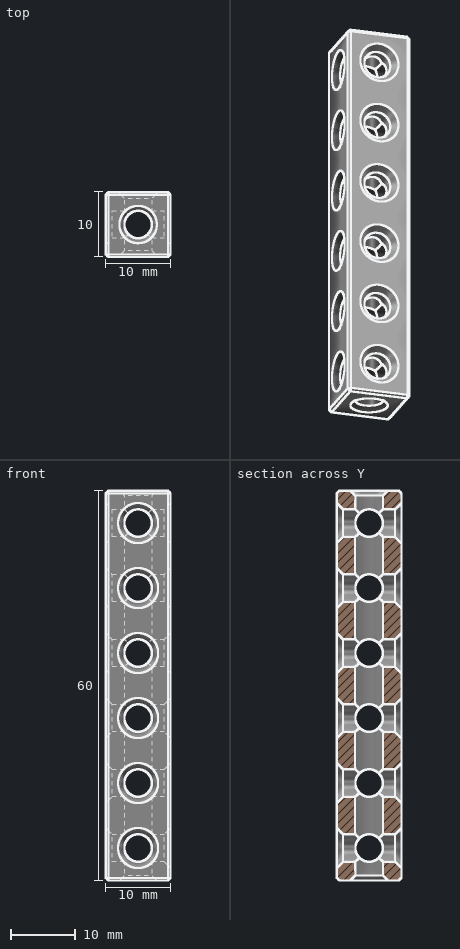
import cadquery as cq

length = 60.0
cell_count = 6
cell = length / cell_count
edge_chamfer = 0.4

hole_diameter = 4.2
side_mouth_diameter = 6.2
end_mouth_diameter = 5.75
side_mouth_depth = (side_mouth_diameter - hole_diameter) / 2
end_mouth_depth = (end_mouth_diameter - hole_diameter) / 2


def countersunk_hole(span, mouth_diameter, mouth_depth):
    """Cutter along Z, centred on the origin, with a cone at each end of the span."""
    hole_radius = hole_diameter / 2
    mouth_radius = mouth_diameter / 2
    half_span = span / 2
    profile = [
        (0, -half_span),
        (mouth_radius, -half_span),
        (hole_radius, -half_span + mouth_depth),
        (hole_radius, half_span - mouth_depth),
        (mouth_radius, half_span),
        (0, half_span),
    ]
    return cq.Workplane("XZ").polyline(profile).close().revolve(360, (0, 0), (0, 1))


result = cq.Workplane("XY").box(cell, cell, length).edges().chamfer(edge_chamfer)

result = result.cut(countersunk_hole(length, end_mouth_diameter, end_mouth_depth))

side_hole = countersunk_hole(cell, side_mouth_diameter, side_mouth_depth)
along_x = side_hole.rotate((0, 0, 0), (0, 1, 0), 90)
along_y = side_hole.rotate((0, 0, 0), (1, 0, 0), 90)
for index in range(cell_count):
    height = (index + 0.5) * cell - length / 2
    result = result.cut(along_x.translate((0, 0, height)))
    result = result.cut(along_y.translate((0, 0, height)))